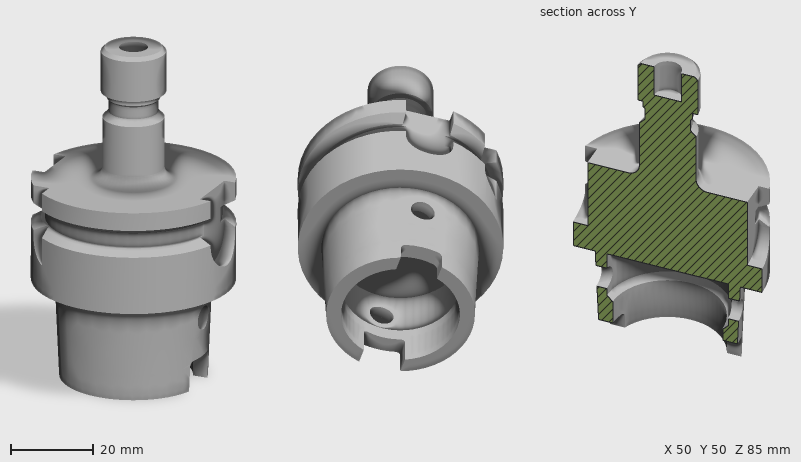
import cadquery as cq

total_height = 85.0
flange_bottom = 25.0
flange_top = 51.2

shank_end_radius = 18.1
shank_root_radius = 19.2
bore_radius = 14.45
clamping_recess_radius = 16.0
clamping_recess_bottom = 11.05
cross_hole_diameter = 6.0
cross_hole_height = 17.7
drive_key_width = 10.45
drive_key_fillet = 1.2
left_key_height = 4.6
right_key_height = 7.65

flange_radius = 25.0
groove_radius = 21.6
groove_bevel_radius = 22.5
groove_middle = 43.1
groove_floor_width = 3.9
groove_mouth_width = 7.0

notch_bottom = 32.2
notch_floor_distance = 21.1
left_notch_width = 12.1
right_notch_width = 14.1
corner_notch_floor_distance = 15.4
corner_notch_inner_side = -15.5

arbor_radius = 7.6
arbor_root_fillet = 2.9
neck_radius = 6.0
neck_bottom = 68.5
collar_radius = 6.55
collar_bottom = 72.1
collar_chamfer = collar_radius - neck_radius
head_radius = 8.0
head_bottom = 73.7
head_chamfer = 0.9
socket_diameter = 7.05
socket_depth = 8.5


def make_shank():
    profile = [
        (0, 0),
        (shank_end_radius, 0),
        (shank_root_radius, flange_bottom),
        (0, flange_bottom),
    ]
    return revolve(cq.Workplane("XZ").polyline(profile).close())


def make_bore():
    """Shank bore, widening at 45 degrees into the clamping recess above its mouth."""
    recess_step = clamping_recess_radius - bore_radius
    profile = [
        (0, 0),
        (bore_radius, 0),
        (bore_radius, clamping_recess_bottom),
        (clamping_recess_radius, clamping_recess_bottom + recess_step),
        (clamping_recess_radius, flange_bottom),
        (0, flange_bottom),
    ]
    return revolve(cq.Workplane("XZ").polyline(profile).close())


def revolve(outline):
    return outline.revolve(360, (0, 0, 0), (0, 1, 0))


def make_flange():
    floor_half = groove_floor_width / 2
    mouth_half = groove_mouth_width / 2
    profile = [
        (0, flange_bottom),
        (flange_radius, flange_bottom),
        (flange_radius, groove_middle - mouth_half),
        (groove_bevel_radius, groove_middle - floor_half),
        (groove_radius, groove_middle - floor_half),
        (groove_radius, groove_middle + floor_half),
        (groove_bevel_radius, groove_middle + floor_half),
        (flange_radius, groove_middle + mouth_half),
        (flange_radius, flange_top),
        (0, flange_top),
    ]
    return revolve(cq.Workplane("XZ").polyline(profile).close())


def make_arbor():
    outline = (
        cq.Workplane("XZ")
        .moveTo(0, flange_top)
        .lineTo(arbor_radius + arbor_root_fillet, flange_top)
        .radiusArc((arbor_radius, flange_top + arbor_root_fillet), arbor_root_fillet)
        .lineTo(arbor_radius, neck_bottom - (arbor_radius - neck_radius))
        .lineTo(neck_radius, neck_bottom)
        .lineTo(neck_radius, collar_bottom - collar_chamfer)
        .lineTo(collar_radius, collar_bottom)
        .lineTo(collar_radius, head_bottom)
        .lineTo(head_radius, head_bottom)
        .lineTo(head_radius, total_height - head_chamfer)
        .lineTo(head_radius - head_chamfer, total_height)
        .lineTo(0, total_height)
        .close()
    )
    return revolve(outline)


def rim_notch(side, floor_distance, center_y, width):
    """Round-bottomed cutter, open upwards and outwards; side is -1 or 1 along X."""
    radius = width / 2
    arc_center = notch_bottom + radius
    outline = (
        cq.Workplane("YZ", origin=(side * floor_distance, center_y, 0))
        .moveTo(-radius, flange_top)
        .lineTo(-radius, arc_center)
        .threePointArc((0, notch_bottom), (radius, arc_center))
        .lineTo(radius, flange_top)
        .close()
    )
    return outline.extrude(side * flange_radius)


def drive_keyway(side, height):
    """Keyway through one shank wall, with rounded upper corners."""
    return (
        cq.Workplane("XY")
        .box(shank_root_radius, drive_key_width, height, centered=(False, True, False))
        .edges("|X and >Z")
        .fillet(drive_key_fillet)
        .translate((0 if side > 0 else -shank_root_radius, 0, 0))
    )


result = make_shank().union(make_flange()).union(make_arbor())

result = result.cut(make_bore())
cross_hole = (
    cq.Workplane("YZ")
    .center(0, cross_hole_height)
    .circle(cross_hole_diameter / 2)
    .extrude(shank_root_radius, both=True)
)
result = result.cut(cross_hole)
result = result.cut(drive_keyway(-1, left_key_height))
result = result.cut(drive_keyway(1, right_key_height))

corner_notch_y = corner_notch_inner_side - left_notch_width / 2
result = result.cut(rim_notch(-1, notch_floor_distance, 0, left_notch_width))
result = result.cut(rim_notch(1, notch_floor_distance, 0, right_notch_width))
result = result.cut(rim_notch(-1, corner_notch_floor_distance, corner_notch_y, left_notch_width))

socket = (
    cq.Workplane("XY", origin=(0, 0, total_height - socket_depth))
    .circle(socket_diameter / 2)
    .extrude(socket_depth)
)
result = result.cut(socket)